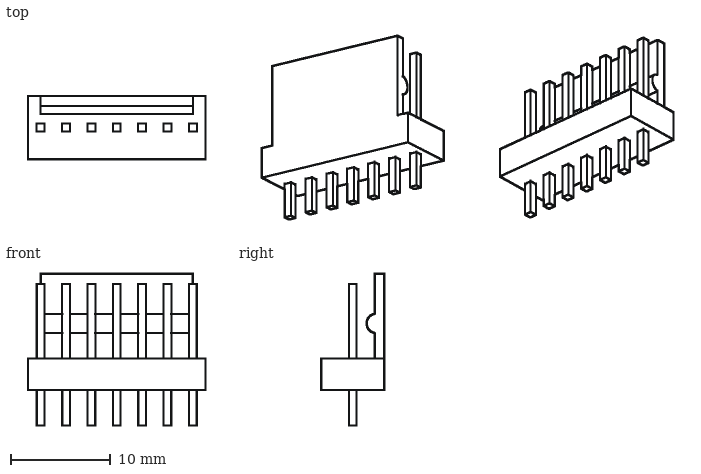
import cadquery as cq
import math

pin_count = 7
base_length = 17.78
base_depth = 6.35
base_height = 3.18
pitch = base_length / pin_count

pin_width = 0.8
pin_drop = 3.55
pin_rise = 7.47
pin_length = pin_drop + base_height + pin_rise

overall_height = 15.24
wall_length = base_length - pitch
wall_thickness = 1.0
wall_top = overall_height - pin_drop
wall_height = wall_top - base_height
back_y = base_depth / 2

ridge_radius = 0.98
ridge_reach = 1.8
ridge_drop = 5.0
ridge_y = back_y - ridge_reach + ridge_radius
ridge_z = wall_top - ridge_drop

pin_positions = [(i - (pin_count - 1) / 2) * pitch for i in range(pin_count)]


def make_pin(x):
    """Square pin passing vertically through the base."""
    return (
        cq.Workplane("XY", origin=(x, 0, -pin_drop))
        .rect(pin_width, pin_width)
        .extrude(pin_length)
    )


def make_wall():
    """Upright wall, flush with the back of the base."""
    return (
        cq.Workplane("XY", origin=(0, back_y - wall_thickness / 2, base_height))
        .rect(wall_length, wall_thickness)
        .extrude(wall_height)
    )


def make_ridge():
    """Round-fronted ridge along the full wall, trimmed flush with the wall's back face."""
    front_y = back_y - ridge_reach
    half_chord = math.sqrt(ridge_radius**2 - (back_y - ridge_y) ** 2)
    return (
        cq.Workplane("YZ", origin=(-wall_length / 2, 0, 0))
        .moveTo(back_y, ridge_z - half_chord)
        .threePointArc((front_y, ridge_z), (back_y, ridge_z + half_chord))
        .close()
        .extrude(wall_length)
    )


def make_housing():
    """Base, wall and ridge in one piece, with a fitted hole for each pin."""
    base = (
        cq.Workplane("XY")
        .rect(base_length, base_depth)
        .extrude(base_height)
    )
    pin_holes = (
        cq.Workplane("XY")
        .pushPoints([(x, 0) for x in pin_positions])
        .rect(pin_width, pin_width)
        .extrude(base_height)
    )
    return base.union(make_wall()).union(make_ridge()).cut(pin_holes)


housing = make_housing()
pins = [make_pin(x) for x in pin_positions]

result = cq.Compound.makeCompound([housing.val(), *[pin.val() for pin in pins]])